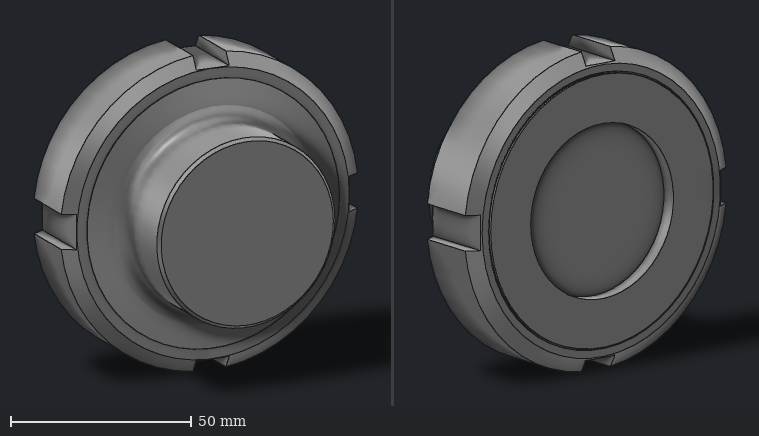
import cadquery as cq
import math

total_length = 44.0

nut_radius = 46.0
nut_front = 0.4
nut_back = 22.4
front_bevel_length = 2.5
back_bevel_length = 2.3
bevel_slope = math.tan(math.radians(60))
front_face_radius = nut_radius - front_bevel_length * bevel_slope
back_face_radius = nut_radius - back_bevel_length * bevel_slope

slot_count = 4
slot_width = 10.15
slot_floor_radius = 42.1

disc_diameter = 78.0
gap_outer_diameter = 78.9
gap_bottom = 0.7
recess_diameter = 50.0
recess_depth = 4.3

shoulder_radius = 39.0
shoulder_rim_end = 22.6
shoulder_end = 24.3
shoulder_end_radius = 31.55
tube_start = 29.3
tube_radius = 27.48
tube_chamfer = 0.9


def make_body():
    """Revolve the nut, shoulder and tube as one profile."""
    profile = (
        cq.Workplane("XY")
        .moveTo(nut_front, 0)
        .lineTo(nut_front, front_face_radius)
        .lineTo(nut_front + front_bevel_length, nut_radius)
        .lineTo(nut_back - back_bevel_length, nut_radius)
        .lineTo(nut_back, back_face_radius)
        .lineTo(nut_back, shoulder_radius)
        .lineTo(shoulder_rim_end, shoulder_radius)
        .lineTo(shoulder_end, shoulder_end_radius)
        .spline(
            [(tube_start, tube_radius)],
            tangents=[
                (shoulder_end - shoulder_rim_end, shoulder_end_radius - shoulder_radius),
                (1, 0),
            ],
            includeCurrent=True,
        )
        .lineTo(total_length - tube_chamfer, tube_radius)
        .lineTo(total_length, tube_radius - tube_chamfer)
        .lineTo(total_length, 0)
        .close()
    )
    return profile.revolve(360, (0, 0, 0), (1, 0, 0))


def make_cylinder(diameter, start, end):
    """Solid cylinder along X between two positions."""
    return cq.Workplane("YZ", origin=(start, 0, 0)).circle(diameter / 2).extrude(end - start)


def cut_slots(body):
    """Cut the evenly spaced key slots through the rim of the nut."""
    slot_height = nut_radius
    slot = cq.Workplane("XY").box(nut_back, slot_width, slot_height, centered=(False, True, False))
    slot = slot.translate((0, 0, slot_floor_radius))
    for index in range(slot_count):
        body = body.cut(slot.rotate((0, 0, 0), (1, 0, 0), index * 360 / slot_count))
    return body


body = cut_slots(make_body())
gap = make_cylinder(gap_outer_diameter, 0, gap_bottom)
disc = make_cylinder(disc_diameter, 0, gap_bottom)
recess = make_cylinder(recess_diameter, 0, recess_depth)
result = body.cut(gap).union(disc).cut(recess)